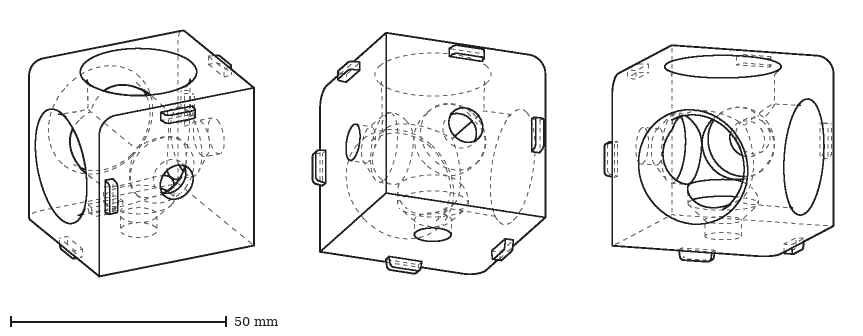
import cadquery as cq
import math

cube_size = 40.0
half = cube_size / 2
edge_radius = 4.1

mouth_radius = 13.5
mouth_chamfer = 1.55
chamfer_angle = math.radians(45)
throat_radius = mouth_radius - mouth_chamfer
throat_blend = 1.0
bore_end_radius = 11.66

socket_radius = 8.2
seat_start = 12.25
screw_hole_radius = 4.25

tab_height = 2.5
tab_width = 8.2
tab_thickness = 2.0
tab_offset = 17.5
tab_draft = math.radians(8)
tab_tip_radius = 1.0
tab_root = 1.0

overshoot = 1.0

LEFT, RIGHT = cq.Vector(-1, 0, 0), cq.Vector(1, 0, 0)
FRONT, BACK = cq.Vector(0, -1, 0), cq.Vector(0, 1, 0)
BOTTOM, TOP = cq.Vector(0, 0, -1), cq.Vector(0, 0, 1)


def make_body():
    """Cube with the three edges at the left-front-top corner rounded."""
    cube = cq.Workplane("XY").box(cube_size, cube_size, cube_size)
    corner_edges = "(<X and <Y) or (<X and >Z) or (<Y and >Z)"
    return cube.edges(corner_edges).fillet(edge_radius)


def make_bore_cutter():
    """Stepped cutter along Y: mouth at -Y, hemisphere at the centre, screw hole at +Y."""
    tangent_length = throat_blend * math.tan(chamfer_angle / 2)
    blend_step = tangent_length * math.cos(chamfer_angle)
    throat_y = -half + mouth_chamfer
    bore_arc_mid = bore_end_radius * math.sqrt(0.5)
    bore = (
        cq.Workplane("XY")
        .moveTo(0, -half - overshoot)
        .lineTo(mouth_radius, -half - overshoot)
        .lineTo(mouth_radius, -half)
        .lineTo(throat_radius + blend_step, throat_y - blend_step)
        .tangentArcPoint((throat_radius, throat_y + tangent_length), relative=False)
        .lineTo(bore_end_radius, 0)
        .threePointArc((bore_arc_mid, bore_arc_mid), (0, bore_end_radius))
        .close()
        .revolve(360, (0, 0, 0), (0, 1, 0))
    )
    seat_end = seat_start + socket_radius - screw_hole_radius
    socket = (
        cq.Workplane("XY")
        .lineTo(socket_radius, 0)
        .lineTo(socket_radius, seat_start)
        .lineTo(screw_hole_radius, seat_end)
        .lineTo(screw_hole_radius, half + overshoot)
        .lineTo(0, half + overshoot)
        .close()
        .revolve(360, (0, 0, 0), (0, 1, 0))
    )
    return bore.union(socket)


def make_tab(outward, edge_side):
    """Tapered, round-tipped tab on the face `outward`, set near its edge toward `edge_side`."""
    origin = outward * half + edge_side * tab_offset
    plane = cq.Plane(origin=origin, xDir=outward, normal=edge_side)
    root_half = tab_width / 2
    tip_half = root_half - tab_height * math.tan(tab_draft)
    blade = (
        cq.Workplane(plane)
        .polyline([(0, -root_half), (tab_height, -tip_half), (tab_height, tip_half), (0, root_half)])
        .close()
        .extrude(tab_thickness / 2, both=True)
    )
    tip_corners = cq.selectors.ParallelDirSelector(edge_side) & cq.selectors.DirectionMinMaxSelector(outward)
    blade = blade.edges(tip_corners).fillet(tab_tip_radius)
    root = (
        cq.Workplane(plane)
        .center(-tab_root / 2, 0)
        .rect(tab_root, tab_width)
        .extrude(tab_thickness / 2, both=True)
    )
    return blade.union(root)


result = make_body()

bore_along_y = make_bore_cutter()
bore_along_x = bore_along_y.rotate((0, 0, 0), (0, 0, 1), -90)
bore_along_z = bore_along_y.rotate((0, 0, 0), (1, 0, 0), -90)
for cutter in (bore_along_x, bore_along_y, bore_along_z):
    result = result.cut(cutter)

tab_places = [
    (RIGHT, TOP),
    (RIGHT, FRONT),
    (BACK, TOP),
    (BACK, LEFT),
    (BOTTOM, LEFT),
    (BOTTOM, FRONT),
]
for outward, edge_side in tab_places:
    result = result.union(make_tab(outward, edge_side))